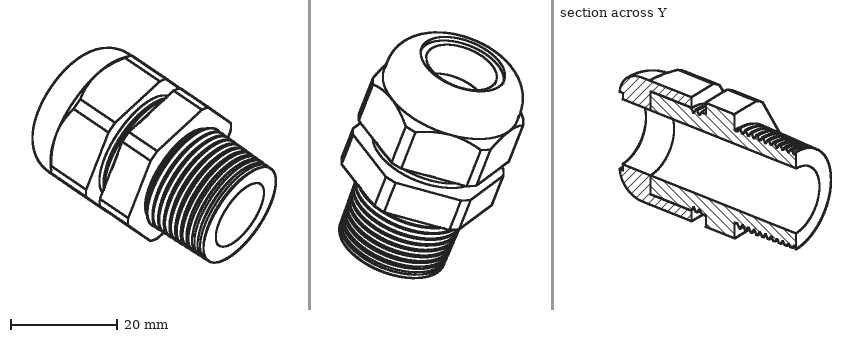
import cadquery as cq
import math

TOTAL_LENGTH = 42.95
ACROSS_FLATS = 26.9
CORNER_RADIUS = 14.95
BORE_RADIUS = 7.0

NUT_RADIUS = ACROSS_FLATS / 2
DOME_LENGTH = 5.55
NUT_HEX_START = 7.43
NUT_HEX_END = 17.55
RECESS_RADIUS = 8.35
RECESS_DEPTH = 0.77
RECESS_FLOOR_RADIUS = 8.05
RECESS_RIM_SLOPE = math.tan(math.radians(15))
SOCKET_START = 7.65

COLLAR_RADIUS = 11.08
BODY_HEX_START = 20.95
BODY_HEX_END = 28.0

FLANK_SLOPE = math.tan(math.radians(30))
NECK_ROOT_RADIUS = 10.2
NECK_GROOVE_START = 18.05
NECK_GROOVE_COUNT = 2
STEM_ROOT_RADIUS = 9.87
STEM_START_RADIUS = 10.9
STEM_END_RADIUS = 10.5
RELIEF_RADIUS = 10.05
RELIEF_END = 28.35
STEM_THREAD_START = 28.55
STEM_THREAD_END = 42.45
STEM_GROOVE_COUNT = 10
PITCH = (STEM_THREAD_END - STEM_THREAD_START) / STEM_GROOVE_COUNT
GROOVE_CLEARANCE = 0.45


def revolve(outline):
    """Turn a closed (x, radius) outline about the X axis."""
    return outline.close().revolve(360, (0, 0, 0), (1, 0, 0))


def cylinder(start, end, radius):
    """Solid cylinder along X."""
    return cq.Workplane("YZ").workplane(offset=start).circle(radius).extrude(end - start)


def hexagon(start, end):
    """Hexagonal bar with flats facing Z and its corners turned down to a cylinder."""
    across_corners = ACROSS_FLATS / math.cos(math.radians(30))
    bar = cq.Workplane("YZ").workplane(offset=start).polygon(6, across_corners).extrude(end - start)
    return bar.intersect(cylinder(start, end, CORNER_RADIUS))


def v_groove(center, root_radius):
    """Ring with a V section that is sharp at the root radius."""
    top_radius = COLLAR_RADIUS + GROOVE_CLEARANCE
    half_width = (top_radius - root_radius) * FLANK_SLOPE
    return revolve(
        cq.Workplane("XY")
        .moveTo(center, root_radius)
        .lineTo(center + half_width, top_radius)
        .lineTo(center - half_width, top_radius)
    )


def cut_grooves(solid, first, count, root_radius):
    for index in range(count):
        solid = solid.cut(v_groove(first + index * PITCH, root_radius))
    return solid


def make_dome():
    """Dome whose arc starts at the recess edge and runs tangent into the cylinder behind it."""
    rise = NUT_RADIUS - RECESS_RADIUS
    arc_radius = (DOME_LENGTH**2 + rise**2) / (2 * rise)
    arc_angle = math.asin(DOME_LENGTH / arc_radius)
    middle_x = DOME_LENGTH - arc_radius * math.sin(arc_angle / 2)
    middle_radius = NUT_RADIUS - arc_radius * (1 - math.cos(arc_angle / 2))
    return revolve(
        cq.Workplane("XY")
        .lineTo(0, RECESS_RADIUS)
        .threePointArc((middle_x, middle_radius), (DOME_LENGTH, NUT_RADIUS))
        .lineTo(NUT_HEX_START, NUT_RADIUS)
        .lineTo(NUT_HEX_START, 0)
    )


def make_recess():
    """Front recess with a flat floor whose outer rim slopes slightly deeper."""
    rim_drop = (RECESS_RADIUS - RECESS_FLOOR_RADIUS) * RECESS_RIM_SLOPE
    return revolve(
        cq.Workplane("XY")
        .lineTo(0, RECESS_RADIUS)
        .lineTo(RECESS_DEPTH + rim_drop, RECESS_RADIUS)
        .lineTo(RECESS_DEPTH, RECESS_FLOOR_RADIUS)
        .lineTo(RECESS_DEPTH, 0)
    )


def make_dome_nut():
    chamfer = CORNER_RADIUS - NUT_RADIUS
    chamfered_bar = revolve(
        cq.Workplane("XY")
        .moveTo(NUT_HEX_START, 0)
        .lineTo(NUT_HEX_START, NUT_RADIUS)
        .lineTo(NUT_HEX_START + chamfer, CORNER_RADIUS)
        .lineTo(NUT_HEX_END, CORNER_RADIUS)
        .lineTo(NUT_HEX_END, 0)
    )
    nut = make_dome().union(hexagon(NUT_HEX_START, NUT_HEX_END).intersect(chamfered_bar))
    nut = nut.cut(make_recess())
    nut = nut.cut(cylinder(0, SOCKET_START, BORE_RADIUS))
    return nut.cut(cylinder(SOCKET_START, NUT_HEX_END, COLLAR_RADIUS))


def make_neck():
    neck = cylinder(SOCKET_START, BODY_HEX_START, COLLAR_RADIUS)
    return cut_grooves(neck, NECK_GROOVE_START, NECK_GROOVE_COUNT, NECK_ROOT_RADIUS)


def make_stem():
    """Externally threaded stem with crests that taper toward the end, behind a plain relief."""
    first_crest = STEM_THREAD_START + (STEM_START_RADIUS - STEM_ROOT_RADIUS) * FLANK_SLOPE
    stem = revolve(
        cq.Workplane("XY")
        .moveTo(BODY_HEX_END, 0)
        .lineTo(BODY_HEX_END, RELIEF_RADIUS)
        .lineTo(RELIEF_END, RELIEF_RADIUS)
        .lineTo(STEM_THREAD_START, STEM_ROOT_RADIUS)
        .lineTo(first_crest, STEM_START_RADIUS)
        .lineTo(TOTAL_LENGTH, STEM_END_RADIUS)
        .lineTo(TOTAL_LENGTH, 0)
    )
    return cut_grooves(stem, STEM_THREAD_START + PITCH, STEM_GROOVE_COUNT, STEM_ROOT_RADIUS)


def make_gland_body():
    body = make_neck().union(hexagon(BODY_HEX_START, BODY_HEX_END)).union(make_stem())
    return body.cut(cylinder(SOCKET_START, TOTAL_LENGTH, BORE_RADIUS))


dome_nut = make_dome_nut().solids()
gland_body = make_gland_body().solids()
result = cq.Compound.makeCompound([dome_nut.val(), gland_body.val()])